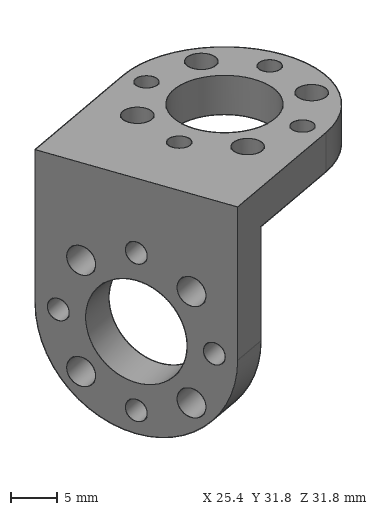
import cadquery as cq

width = 25.4
leg_length = 31.75
top_thickness = 4.9
front_thickness = 5.08
bore_diameter = 12.7
bolt_circle_radius = 9.78
small_hole_diameter = 2.73
large_hole_diameter = 3.62

end_radius = width / 2
bore_distance = leg_length - end_radius
holes_per_set = 4


def drilled_leg(thickness):
    """Plate with a round end, running along +Y from the X axis, from Z = -thickness to Z = 0."""
    outline = (
        cq.Workplane("XY")
        .moveTo(-end_radius, 0)
        .lineTo(end_radius, 0)
        .lineTo(end_radius, bore_distance)
        .threePointArc((0, leg_length), (-end_radius, bore_distance))
        .close()
    )
    plate = outline.extrude(-thickness)

    holes = cq.Workplane("XY").center(0, bore_distance).circle(bore_diameter / 2).extrude(-thickness)
    for diameter, start_angle in ((small_hole_diameter, 0), (large_hole_diameter, 45)):
        hole_set = (
            cq.Workplane("XY")
            .center(0, bore_distance)
            .polarArray(bolt_circle_radius, start_angle, 360, holes_per_set)
            .circle(diameter / 2)
            .extrude(-thickness)
        )
        holes = holes.union(hole_set)
    return plate.cut(holes)


top_leg = drilled_leg(top_thickness)

front_leg = drilled_leg(front_thickness).rotate((0, 0, 0), (1, 0, 0), -90).mirror("XZ")

result = top_leg.union(front_leg)